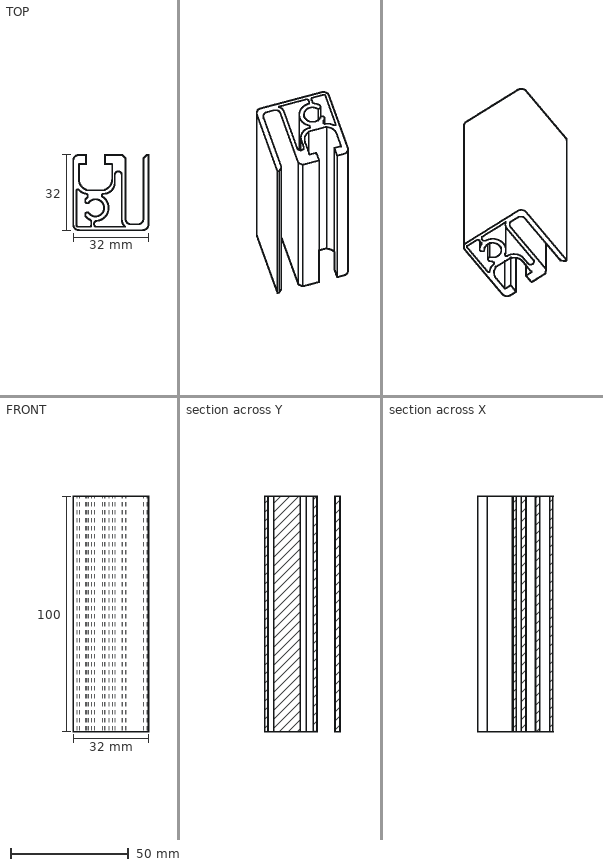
import cadquery as cq
import math

SIZE = 32.0
LENGTH = 100.0
HALF = SIZE / 2
CORNER_RADIUS = 2.5
FACE_WALL = 1.5

SLOT_X = -6.5
SLOT_OPENING = 8.0
SLOT_WIDTH = 14.0
SLOT_LIP = 4.0
SLOT_DEPTH = 15.0
SLOT_FLOOR_RADIUS = 4.5
SHELL_SIDE = 1.25
SHELL_FLOOR = 1.6
SHELL_RADIUS = 4.9

GROOVE_LEFT = 6.3
GROOVE_RIGHT = 13.75
GROOVE_FLOOR = -13.4
GROOVE_FLOOR_RADIUS = 2.1
GROOVE_MOUTH_CHAMFER = 1.5
GROOVE_WALL = 1.7

CHANNEL_Y = -6.5
CHANNEL_INNER_RADIUS = 3.6
CHANNEL_OUTER_RADIUS = 5.6
CHANNEL_MOUTH = 3.8
CHANNEL_LIP_RADIUS = 1.1

NECK_LEFT = -9.8
NECK_RIGHT = -3.7
LEG_X = -7.7
LEG_WIDTH = 1.3
NECK_LEFT_UPPER_FILLET = 0.7
NECK_LEFT_LOWER_FILLET = 0.3
NECK_RIGHT_FILLET = 0.4
WEB_OVERLAP = 0.5
LEG_LEFT_TOP_FILLET = 0.7
LEG_LEFT_BASE_FILLET = 0.6
LEG_RIGHT_FILLET = 1.0
CHAMBER_CORNER_FILLET = 0.5

CHAMBER_TOP = 8.95
CHAMBER_BEND_RADIUS = 3.8
CHAMBER_BEND_Y = -11.5

SLOT_FLOOR = HALF - SLOT_DEPTH
SHELL_BOTTOM = SLOT_FLOOR - SHELL_FLOOR
SHELL_WIDTH = SLOT_WIDTH + 2 * SHELL_SIDE
CHAMBER_LEFT = -HALF + FACE_WALL
CHAMBER_BOTTOM = -HALF + FACE_WALL
CHAMBER_RIGHT = GROOVE_LEFT - GROOVE_WALL
LEG_LEFT = LEG_X - LEG_WIDTH / 2
LEG_RIGHT = LEG_X + LEG_WIDTH / 2


def prism(left, right, bottom, top):
    """Full-length box with the given limits in X and Y."""
    return (
        cq.Workplane("XY")
        .center((left + right) / 2, (bottom + top) / 2)
        .rect(right - left, top - bottom)
        .extrude(LENGTH)
    )


def rod(x, y, radius):
    """Full-length cylinder."""
    return cq.Workplane("XY").center(x, y).circle(radius).extrude(LENGTH)


def fillet_at(body, radius, *points):
    """Round the lengthwise edges of body that lie nearest to the given XY points."""
    for x, y in points:
        nearest = cq.selectors.NearestToPointSelector((x, y, LENGTH / 2))
        body = body.edges("|Z").edges(nearest).fillet(radius)
    return body


def make_blank():
    """Square bar with three rounded corners; the +X+Y corner stays sharp."""
    bar = prism(-HALF, HALF, -HALF, HALF)
    return fillet_at(bar, CORNER_RADIUS, (-HALF, -HALF), (HALF, -HALF), (-HALF, HALF))


def make_slot():
    """Space of the T-slot: narrow opening over a round-bottomed cavity."""
    left = SLOT_X - SLOT_WIDTH / 2
    right = SLOT_X + SLOT_WIDTH / 2
    cavity = prism(left, right, SLOT_FLOOR, HALF - SLOT_LIP)
    cavity = cavity.edges("|Z and <Y").fillet(SLOT_FLOOR_RADIUS)
    opening = prism(SLOT_X - SLOT_OPENING / 2, SLOT_X + SLOT_OPENING / 2, SLOT_FLOOR, HALF)
    return cavity.union(opening)


def make_groove():
    """Space of the panel groove, with a rounded floor and a chamfered mouth."""
    groove = prism(GROOVE_LEFT, GROOVE_RIGHT, GROOVE_FLOOR, HALF)
    groove = groove.edges("|Z and <Y").fillet(GROOVE_FLOOR_RADIUS)
    mouth = (
        cq.Workplane("XY")
        .moveTo(GROOVE_LEFT - GROOVE_MOUTH_CHAMFER, HALF)
        .lineTo(GROOVE_LEFT, HALF - GROOVE_MOUTH_CHAMFER)
        .lineTo(GROOVE_RIGHT, HALF - GROOVE_MOUTH_CHAMFER)
        .lineTo(GROOVE_RIGHT + GROOVE_MOUTH_CHAMFER, HALF)
        .close()
        .extrude(LENGTH)
    )
    return groove.union(mouth)


def make_chamber_envelope():
    """Hollow between the outer walls, the groove wall and the slot, before the webs are left in it."""
    bend_x = CHAMBER_RIGHT + CHAMBER_BEND_RADIUS
    envelope = prism(CHAMBER_LEFT, bend_x, CHAMBER_BOTTOM, CHAMBER_BEND_Y)
    envelope = envelope.cut(rod(bend_x, CHAMBER_BEND_Y, CHAMBER_BEND_RADIUS))
    envelope = envelope.union(prism(CHAMBER_LEFT, CHAMBER_RIGHT, CHAMBER_BEND_Y, SLOT_FLOOR + SHELL_RADIUS))

    finger_left = SLOT_X + SHELL_WIDTH / 2
    crown_radius = (CHAMBER_RIGHT - finger_left) / 2
    crown_y = CHAMBER_TOP - crown_radius
    finger = prism(finger_left, CHAMBER_RIGHT, SHELL_BOTTOM, crown_y)
    finger = finger.union(rod(finger_left + crown_radius, crown_y, crown_radius))
    return envelope.union(finger)


def make_shell():
    """Outside of the wall that surrounds the slot cavity."""
    left = SLOT_X - SHELL_WIDTH / 2
    right = SLOT_X + SHELL_WIDTH / 2
    return prism(left, right, SHELL_BOTTOM, HALF).edges("|Z and <Y").fillet(SHELL_RADIUS)


def make_channel():
    """C-shaped ring, open to -X, with rounded lips."""
    lip_y = CHANNEL_MOUTH / 2
    lip_x = SLOT_X - math.sqrt(CHANNEL_OUTER_RADIUS**2 - lip_y**2)
    ring = rod(SLOT_X, CHANNEL_Y, CHANNEL_OUTER_RADIUS)
    ring = ring.cut(rod(SLOT_X, CHANNEL_Y, CHANNEL_INNER_RADIUS))
    ring = ring.cut(prism(-HALF, SLOT_X, CHANNEL_Y - lip_y, CHANNEL_Y + lip_y))
    return fillet_at(ring, CHANNEL_LIP_RADIUS, (lip_x, CHANNEL_Y + lip_y), (lip_x, CHANNEL_Y - lip_y))


def make_chamber():
    """Hollow chamber around the screw channel, with sharp inner corners."""
    neck_bottom = CHANNEL_Y + CHANNEL_INNER_RADIUS + WEB_OVERLAP
    leg_top = CHANNEL_Y - CHANNEL_INNER_RADIUS - WEB_OVERLAP
    chamber = make_chamber_envelope().cut(make_shell()).cut(make_channel())
    chamber = chamber.cut(prism(NECK_LEFT, NECK_RIGHT, neck_bottom, SLOT_FLOOR))
    return chamber.cut(prism(LEG_LEFT, LEG_RIGHT, CHAMBER_BOTTOM, leg_top))


def channel_rise(x):
    """Height of the outside of the screw channel above its centre line, at a given X."""
    return math.sqrt(CHANNEL_OUTER_RADIUS**2 - (x - SLOT_X) ** 2)


def round_chamber_corners(profile):
    """Round the corners of the chamber beside the neck, beside the leg and along the -X wall."""
    profile = fillet_at(profile, NECK_LEFT_UPPER_FILLET, (NECK_LEFT, SHELL_BOTTOM))
    profile = fillet_at(profile, NECK_LEFT_LOWER_FILLET, (NECK_LEFT, CHANNEL_Y + channel_rise(NECK_LEFT)))
    profile = fillet_at(
        profile,
        NECK_RIGHT_FILLET,
        (NECK_RIGHT, SHELL_BOTTOM),
        (NECK_RIGHT, CHANNEL_Y + channel_rise(NECK_RIGHT)),
    )
    profile = fillet_at(profile, LEG_LEFT_TOP_FILLET, (LEG_LEFT, CHANNEL_Y - channel_rise(LEG_LEFT)))
    profile = fillet_at(profile, LEG_LEFT_BASE_FILLET, (LEG_LEFT, CHAMBER_BOTTOM))
    profile = fillet_at(
        profile,
        LEG_RIGHT_FILLET,
        (LEG_RIGHT, CHANNEL_Y - channel_rise(LEG_RIGHT)),
        (LEG_RIGHT, CHAMBER_BOTTOM),
    )
    return fillet_at(
        profile,
        CHAMBER_CORNER_FILLET,
        (CHAMBER_LEFT, CHAMBER_BOTTOM),
        (CHAMBER_LEFT, SLOT_FLOOR + SHELL_FLOOR),
    )


profile = make_blank().cut(make_slot()).cut(make_groove()).cut(make_chamber())
result = round_chamber_corners(profile)